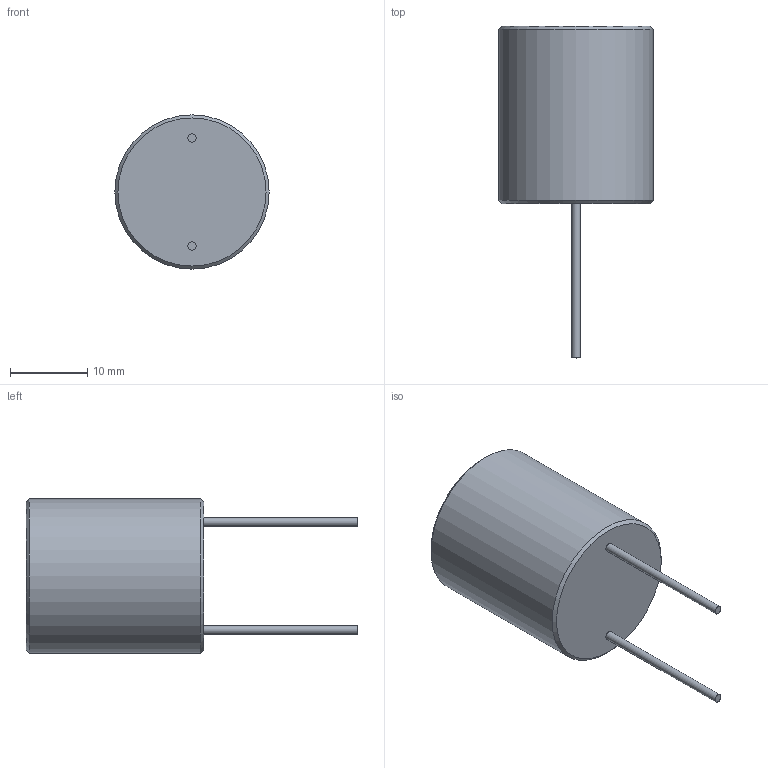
import cadquery as cq

body_diameter = 20.0
body_length = 23.0
edge_chamfer = 0.4

lead_diameter = 1.1
lead_length = 20.0
lead_pitch = 14.0


def make_body():
    """Cylinder from the lead face at Y = 0 to Y = body_length, both rims chamfered."""
    return (
        cq.Workplane("XZ")
        .circle(body_diameter / 2)
        .extrude(-body_length)
        .edges("%CIRCLE")
        .chamfer(edge_chamfer)
    )


def make_leads():
    """Pair of straight leads, spaced along Z, running from the lead face toward -Y."""
    return (
        cq.Workplane("XZ")
        .pushPoints([(0, -lead_pitch / 2), (0, lead_pitch / 2)])
        .circle(lead_diameter / 2)
        .extrude(lead_length)
    )


result = make_body().union(make_leads())